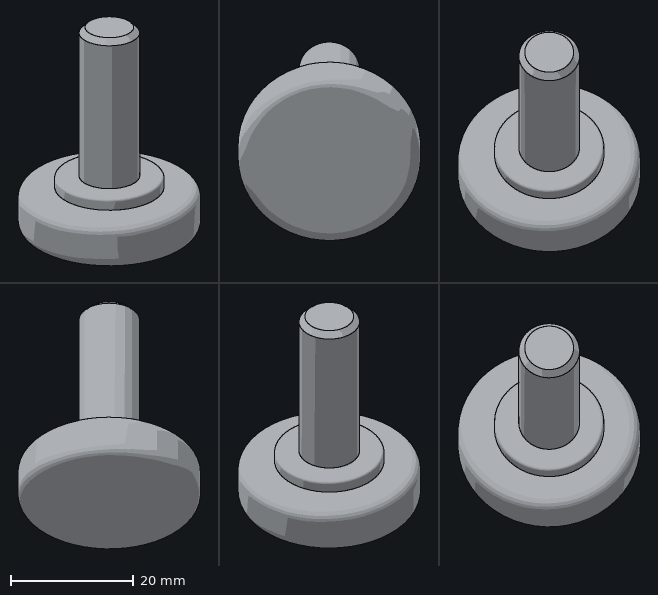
import cadquery as cq

total_height = 37.0
head_diameter = 30.0
head_height = 8.0
head_edge_radius = 2.0
collar_diameter = 18.0
collar_height = 2.0
collar_edge_radius = 0.5
stem_diameter = 10.0
stem_chamfer = 1.0

collar_top = head_height + collar_height
stem_length = total_height - collar_top


def disc(diameter, height, base_height):
    """Upright cylinder on the Z axis, starting at base_height."""
    return cq.Workplane("XY").workplane(offset=base_height).circle(diameter / 2).extrude(height)


head = disc(head_diameter, head_height, 0).edges("%CIRCLE").fillet(head_edge_radius)

collar = disc(collar_diameter, collar_height, head_height).faces(">Z").edges().fillet(collar_edge_radius)

stem = disc(stem_diameter, stem_length, collar_top).faces(">Z").edges().chamfer(stem_chamfer)

result = head.union(collar).union(stem)